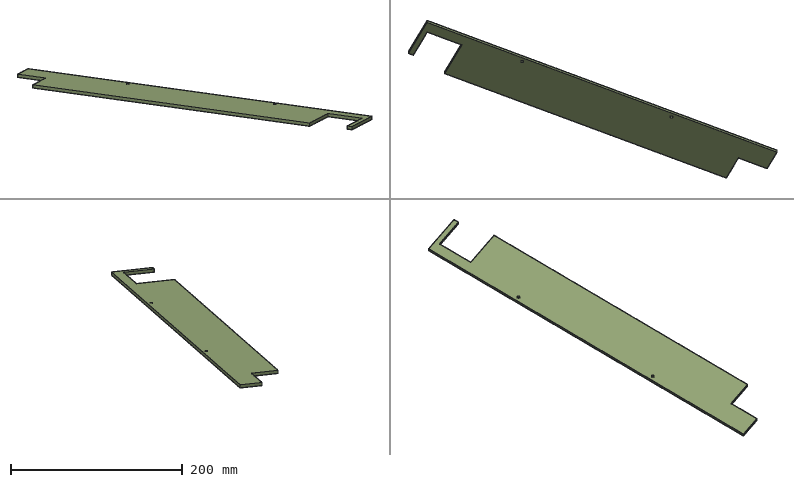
import cadquery as cq

length = 450.0
width = 60.0
thickness = 4.0

left_tab_length = 37.0
left_tab_width = 27.0

body_right = 399.0
hook_bar_width = 13.0
hook_arm_width = 6.5
hook_arm_length = 51.0

hole_diameter = 3.0
hole_edge_distance = 5.5
hole_positions_x = (133.0, 325.5)

outline = [
    (left_tab_length, 0),
    (body_right, 0),
    (body_right, width - hook_bar_width),
    (length - hook_arm_width, width - hook_bar_width),
    (length - hook_arm_width, width - hook_arm_length),
    (length, width - hook_arm_length),
    (length, width),
    (0, width),
    (0, width - left_tab_width),
    (left_tab_length, width - left_tab_width),
]
plate = cq.Workplane("XY").polyline(outline).close().extrude(thickness)

hole_centers = [(x, width - hole_edge_distance) for x in hole_positions_x]
holes = (
    cq.Workplane("XY")
    .pushPoints(hole_centers)
    .circle(hole_diameter / 2)
    .extrude(thickness)
)

result = plate.cut(holes)